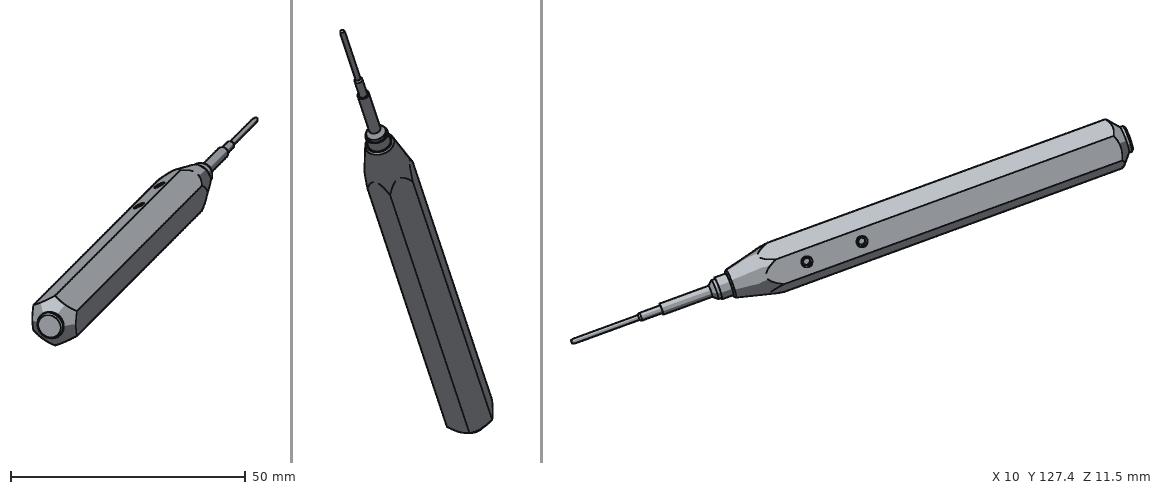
import cadquery as cq
import math

total_length = 127.4
across_flats = 10.0
hexagon_sides = 6
corner_ratio = 1 / math.cos(math.pi / hexagon_sides)
across_corners = across_flats * corner_ratio

needle_diameter = 1.1
tip_taper_length = 0.8
tip_taper_depth = 0.1
thin_sleeve_front = 112.1
thin_sleeve_diameter = 1.8
thin_sleeve_taper_length = 0.5
thin_sleeve_taper_depth = 0.3
thick_sleeve_front = 106.9
thick_sleeve_diameter = 2.5
flare_front = 95.7
flare_rear = 94.7
flare_diameter = 4.3
collar_front = 93.9
collar_diameter = 5.0

cone_front = 91.3
cone_front_diameter = 6.4
cone_rim_chamfer = 0.4
cone_half_angle = 14.0
butt_cone_half_angle = 49.0
button_diameter = 5.9
button_length = 1.0
button_chamfer = 0.4
corner_clearance = 0.1

screw_positions = (74.5, 61.9)
screw_diameter = 2.4
screw_recess_depth = 0.3
socket_across_flats = 1.5
socket_depth = 0.8
screw_tilt = 30.0


def revolve_about_y(profile):
    """Solid of revolution from (radius, y) points."""
    return cq.Workplane("ZY").polyline(profile).close().revolve(360, (0, 0), (0, 1))


def cone_length(large_radius, small_radius, half_angle):
    return (large_radius - small_radius) / math.tan(math.radians(half_angle))


def handle_envelope():
    """Turned outline that trims both ends of the hexagonal bar."""
    outer_radius = across_corners / 2 + corner_clearance
    button_radius = button_diameter / 2
    rim_radius = cone_front_diameter / 2
    rim_rear = cone_front - cone_rim_chamfer
    butt_cone_end = button_length + cone_length(outer_radius, button_radius, butt_cone_half_angle)
    front_cone_start = rim_rear - cone_length(outer_radius, rim_radius, cone_half_angle)
    return revolve_about_y([
        (0, 0),
        (button_radius - button_chamfer, 0),
        (button_radius, button_chamfer),
        (button_radius, button_length),
        (outer_radius, butt_cone_end),
        (outer_radius, front_cone_start),
        (rim_radius, rim_rear),
        (rim_radius - cone_rim_chamfer, cone_front),
        (0, cone_front),
    ])


def handle():
    """Hexagonal bar with corners at +Z and -Z and flats facing +X and -X."""
    bar = (
        cq.Workplane("XZ")
        .transformed(rotate=(0, 0, 90))
        .polygon(hexagon_sides, across_corners)
        .extrude(-cone_front)
    )
    return bar.intersect(handle_envelope())


def needle_and_sleeves():
    """Collar, flare, two sleeves and the needle, stepping down towards the tip."""
    needle_radius = needle_diameter / 2
    thin_radius = thin_sleeve_diameter / 2
    thick_radius = thick_sleeve_diameter / 2
    flare_radius = flare_diameter / 2
    collar_radius = collar_diameter / 2
    return revolve_about_y([
        (0, cone_front),
        (collar_radius, cone_front),
        (collar_radius, collar_front),
        (flare_radius, collar_front),
        (flare_radius, flare_rear),
        (thick_radius, flare_front),
        (thick_radius, thick_sleeve_front),
        (thin_radius, thick_sleeve_front),
        (thin_radius, thin_sleeve_front - thin_sleeve_taper_length),
        (thin_radius - thin_sleeve_taper_depth, thin_sleeve_front),
        (needle_radius, thin_sleeve_front),
        (needle_radius, total_length - tip_taper_length),
        (needle_radius - tip_taper_depth, total_length),
        (0, total_length),
    ])


def screw_cut(position):
    """Shallow round recess with a hexagonal socket in its floor."""
    surface = cq.Workplane("XY", origin=(0, position, across_flats / 2))
    recess = surface.circle(screw_diameter / 2).extrude(-screw_recess_depth)
    socket = (
        surface
        .polygon(hexagon_sides, socket_across_flats * corner_ratio)
        .extrude(-screw_recess_depth - socket_depth)
    )
    return recess.union(socket).rotate((0, 0, 0), (0, 1, 0), -screw_tilt)


result = handle().union(needle_and_sleeves())
for screw_position in screw_positions:
    result = result.cut(screw_cut(screw_position))